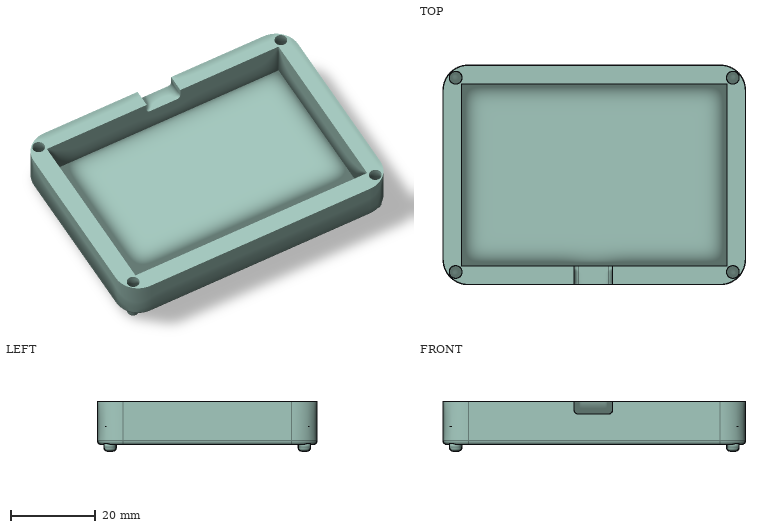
import cadquery as cq

LENGTH = 71.85
WIDTH = 52.15
TOTAL_HEIGHT = 11.85
FOOT_HEIGHT = 1.6
BODY_HEIGHT = TOTAL_HEIGHT - FOOT_HEIGHT
CORNER_RADIUS = 6.0
BOTTOM_FILLET = 1.0

WALL = 4.45
FLOOR_THICKNESS = 1.0

PEG_DIAMETER = 3.0
PEG_INSET = 3.0
FOOT_FILLET = 1.0
SOCKET_DEPTH = 5.95

NOTCH_WIDTH = 9.1
NOTCH_DEPTH = 3.0
NOTCH_CENTER_X = -0.2
NOTCH_FILLET = 1.0


def tray_body():
    """Rounded block with a softened bottom edge, resting on z = 0."""
    block = cq.Workplane("XY").box(LENGTH, WIDTH, BODY_HEIGHT, centered=(True, True, False))
    return block.edges("|Z").fillet(CORNER_RADIUS).faces("<Z").edges().fillet(BOTTOM_FILLET)


def cavity():
    """Sharp-cornered pocket reaching from the floor to the rim."""
    return (
        cq.Workplane("XY", origin=(0, 0, FLOOR_THICKNESS))
        .rect(LENGTH - 2 * WALL, WIDTH - 2 * WALL)
        .extrude(BODY_HEIGHT - FLOOR_THICKNESS)
    )


def finger_notch():
    """Cut through the front wall with rounded lower corners."""
    notch = cq.Workplane("XY").box(NOTCH_WIDTH, WALL, NOTCH_DEPTH, centered=(True, False, False))
    notch = notch.edges("|Y and <Z").fillet(NOTCH_FILLET)
    return notch.translate((NOTCH_CENTER_X, -WIDTH / 2, BODY_HEIGHT - NOTCH_DEPTH))


def corner_pegs(bottom, height):
    """Four upright cylinders, one in each corner of the tray."""
    return (
        cq.Workplane("XY", origin=(0, 0, bottom))
        .rect(LENGTH - 2 * PEG_INSET, WIDTH - 2 * PEG_INSET, forConstruction=True)
        .vertices()
        .circle(PEG_DIAMETER / 2)
        .extrude(height)
    )


feet = corner_pegs(-FOOT_HEIGHT, FOOT_HEIGHT + BOTTOM_FILLET).faces("<Z").edges().fillet(FOOT_FILLET)
sockets = corner_pegs(BODY_HEIGHT - SOCKET_DEPTH, SOCKET_DEPTH)

result = tray_body().union(feet).cut(cavity()).cut(finger_notch()).cut(sockets)